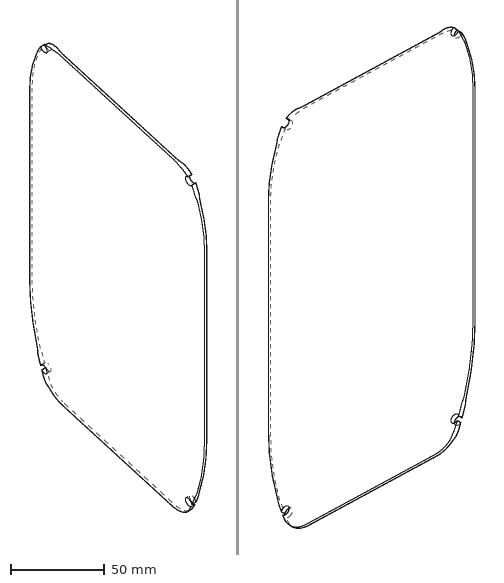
import cadquery as cq
import math

height = 279.0
width = 149.0
plate_thickness = 1.7
half_width = width / 2
half_height = height / 2

top_curve_radius = 100.5
top_curve_start = 89.3
bottom_curve_radius = 184.0
bottom_curve_start = -62.8
top_corner_radius = 12.5
bottom_corner_radius = 16.7

pad_thickness = 2.8
pad_flat_radius = 9.8
pad_outer_radius = 14.0
pad_x = 61.5
top_pad_z = 134.2
bottom_pad_z = -123.3

notch_radius = 2.8


def side_curve_x(radius, start_z, z):
    """Half-width of the panel at z on a side curve starting at start_z."""
    return half_width - radius + math.sqrt(radius**2 - (z - start_z) ** 2)


def make_outline(thickness):
    """Solid with the panel outline, centred on the XZ plane."""
    top_x = side_curve_x(top_curve_radius, top_curve_start, half_height)
    top_mid_z = (top_curve_start + half_height) / 2
    top_mid_x = side_curve_x(top_curve_radius, top_curve_start, top_mid_z)
    bottom_x = side_curve_x(bottom_curve_radius, bottom_curve_start, -half_height)
    bottom_mid_z = (bottom_curve_start - half_height) / 2
    bottom_mid_x = side_curve_x(bottom_curve_radius, bottom_curve_start, bottom_mid_z)
    body = (
        cq.Workplane("XZ")
        .moveTo(-bottom_x, -half_height)
        .lineTo(bottom_x, -half_height)
        .threePointArc((bottom_mid_x, bottom_mid_z), (half_width, bottom_curve_start))
        .lineTo(half_width, top_curve_start)
        .threePointArc((top_mid_x, top_mid_z), (top_x, half_height))
        .lineTo(-top_x, half_height)
        .threePointArc((-top_mid_x, top_mid_z), (-half_width, top_curve_start))
        .lineTo(-half_width, bottom_curve_start)
        .threePointArc((-bottom_mid_x, bottom_mid_z), (-bottom_x, -half_height))
        .close()
        .extrude(thickness / 2, both=True)
    )
    body = body.faces(">Z").edges("|Y").fillet(top_corner_radius)
    return body.faces("<Z").edges("|Y").fillet(bottom_corner_radius)


def make_pad(x, z):
    """Round pad whose concave flanks run tangent into both plate faces."""
    plate_y = plate_thickness / 2
    pad_y = pad_thickness / 2
    rise = pad_y - plate_y
    run = pad_outer_radius - pad_flat_radius
    flank_radius = (run**2 + rise**2) / (2 * rise)
    mid_run = run / 2
    mid_r = pad_outer_radius - mid_run
    mid_y = plate_y + flank_radius - math.sqrt(flank_radius**2 - mid_run**2)
    pad = (
        cq.Workplane("XY")
        .moveTo(0, -pad_y)
        .lineTo(pad_flat_radius, -pad_y)
        .threePointArc((mid_r, -mid_y), (pad_outer_radius, -plate_y))
        .lineTo(pad_outer_radius, plate_y)
        .threePointArc((mid_r, mid_y), (pad_flat_radius, pad_y))
        .lineTo(0, pad_y)
        .close()
        .revolve(360, (0, 0, 0), (0, 1, 0))
    )
    return pad.translate((x, 0, z))


def make_notch(x, z):
    """Round cutter through a pad and the side next to it."""
    cutter = cq.Workplane("XZ").circle(notch_radius).extrude(pad_thickness, both=True)
    return cutter.translate((x, 0, z))


result = make_outline(plate_thickness)
pad_limit = make_outline(pad_thickness)
for pad_z in (top_pad_z, bottom_pad_z):
    for x in (-pad_x, pad_x):
        result = result.union(make_pad(x, pad_z).intersect(pad_limit))
        result = result.cut(make_notch(x, pad_z))